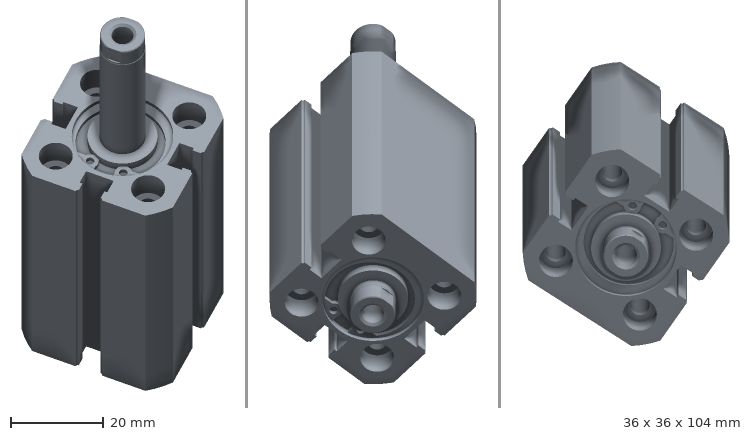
import cadquery as cq
import math

total_length = 104.0
housing_width = 36.0
housing_height = 62.0
rod_below = 6.0
corner_radius = 22.5

hole_pitch = 21.9
hole_diameter = 4.3
counterbore_diameter = 7.4
counterbore_depth = 6.2

slot_mouth_width = 5.2
slot_inner_width = 6.5
slot_depth = 5.9
slot_lip = 2.5
slot_lip_radius = 0.5
slot_directions = (180, 270, 0)

rod_radius = 5.0
rod_end_step = 0.1
rod_end_length = 4.4
rod_tip_chamfer = 0.2
flat_cut = 0.4
flat_length = 4.0
tap_radius = 2.4
tap_mouth_radius = 3.0
tap_mouth_depth = 0.4
tap_depth = 10.4
drill_point_angle = 118.0

bore_radius = 11.0
collar_length = 10.4
boss_radius = 7.6
boss_height = 2.1
ring_thickness = 1.0
ring_inner_radius = 9.8
ring_inner_offset = 1.0
ear_edge = 7.3
ear_radius = 1.9
ear_hole_radius = 0.9
ear_hole_x = 4.0
ear_hole_y = -8.4
gap_width = 4.6

half_width = housing_width / 2
rod_bottom = -rod_below
rod_top = rod_bottom + total_length


def cylinder(radius, height, z=0.0, x=0.0, y=0.0):
    """Upright cylinder standing at height z."""
    return cq.Workplane("XY", origin=(x, y, z)).circle(radius).extrude(height)


def block(x_min, x_max, y_min, y_max, height):
    """Upright block standing on z = 0."""
    size_x = x_max - x_min
    size_y = y_max - y_min
    return cq.Workplane("XY").box(size_x, size_y, height, centered=False).translate((x_min, y_min, 0))


def at_lower_end(body):
    """Copy of a body mirrored about the middle of the housing."""
    return body.mirror("XY", (0, 0, housing_height / 2))


def sensor_slot(direction):
    """T-slot over the full height, opening on the side that faces the given direction."""
    floor = half_width - slot_depth
    lip_start = half_width - slot_lip
    half_mouth = slot_mouth_width / 2
    half_inner = slot_inner_width / 2
    half_flare = half_mouth + slot_lip_radius
    arc_start = half_width - slot_lip_radius
    profile = (
        cq.Workplane("XY")
        .moveTo(floor, -half_inner)
        .lineTo(lip_start, -half_inner)
        .lineTo(lip_start, -half_mouth)
        .lineTo(arc_start, -half_mouth)
        .radiusArc((half_width, -half_flare), -slot_lip_radius)
        .lineTo(half_width, half_flare)
        .radiusArc((arc_start, half_mouth), -slot_lip_radius)
        .lineTo(lip_start, half_mouth)
        .lineTo(lip_start, half_inner)
        .lineTo(floor, half_inner)
        .close()
    )
    return profile.extrude(housing_height).rotate((0, 0, 0), (0, 0, 1), direction)


def make_housing():
    square = block(-half_width, half_width, -half_width, half_width, housing_height)
    body = square.intersect(cylinder(corner_radius, housing_height))

    for direction in slot_directions:
        body = body.cut(sensor_slot(direction))

    for x in (-hole_pitch / 2, hole_pitch / 2):
        for y in (-hole_pitch / 2, hole_pitch / 2):
            counterbore = cylinder(
                counterbore_diameter / 2, counterbore_depth, housing_height - counterbore_depth, x, y
            )
            body = body.cut(cylinder(hole_diameter / 2, housing_height, 0, x, y))
            body = body.cut(counterbore).cut(at_lower_end(counterbore))

    collar_seat = cylinder(bore_radius, collar_length, housing_height - collar_length)
    body = body.cut(collar_seat).cut(at_lower_end(collar_seat))
    return body.cut(cylinder(rod_radius, housing_height))


def make_collar():
    """Stepped guide of the rod: a flange that fills the bore and a boss flush with the housing face."""
    bottom = housing_height - collar_length
    flange = cylinder(bore_radius, collar_length - boss_height, bottom)
    boss = cylinder(boss_radius, collar_length, bottom)
    return flange.union(boss).cut(cylinder(rod_radius, housing_height))


def make_retaining_ring():
    """Internal circlip resting on the collar flange, with its gap toward -Y."""
    opening = cylinder(ring_inner_radius, ring_thickness, 0, 0, -ring_inner_offset)
    opening = opening.intersect(block(-bore_radius, bore_radius, -ear_edge, bore_radius, ring_thickness))
    gap = block(-gap_width / 2, gap_width / 2, -bore_radius, 0, ring_thickness)
    ring = cylinder(bore_radius, ring_thickness).cut(opening).cut(gap)

    for x in (-ear_hole_x, ear_hole_x):
        ring = ring.union(cylinder(ear_radius, ring_thickness, 0, x, ear_hole_y))
        ring = ring.cut(cylinder(ear_hole_radius, ring_thickness, 0, x, ear_hole_y))

    ring = ring.intersect(cylinder(bore_radius, ring_thickness)).cut(cylinder(boss_radius, ring_thickness))
    return ring.translate((0, 0, housing_height - boss_height))


def tapped_hole():
    """Countersunk blind hole with a drill point, at the top end of the rod."""
    point_depth = tap_radius / math.tan(math.radians(drill_point_angle / 2))
    return (
        cq.Workplane("XZ")
        .moveTo(0, rod_top)
        .lineTo(tap_mouth_radius, rod_top)
        .lineTo(tap_radius, rod_top - tap_mouth_depth)
        .lineTo(tap_radius, rod_top - tap_depth)
        .lineTo(0, rod_top - tap_depth - point_depth)
        .close()
        .revolve(360, (0, 0, 0), (0, 1, 0))
    )


def make_rod():
    middle = (rod_bottom + rod_top) / 2
    shaft_length = total_length - 2 * rod_end_length
    rod = cylinder(rod_radius - rod_end_step, total_length, rod_bottom).edges().chamfer(rod_tip_chamfer)
    shaft = cylinder(rod_radius, shaft_length, rod_bottom + rod_end_length)
    rod = rod.union(shaft.edges().chamfer(rod_end_step))

    flat_offset = rod_radius - flat_cut / 2
    for side in (-1, 1):
        flat = cq.Workplane("XY").box(2 * rod_radius, flat_cut, flat_length)
        flat = flat.translate((0, side * flat_offset, rod_top - flat_length / 2))
        rod = rod.cut(flat).cut(flat.mirror("XY", (0, 0, middle)))

    hole = tapped_hole()
    return rod.cut(hole).cut(hole.mirror("XY", (0, 0, middle)))


housing = make_housing()
rod = make_rod()

upper_collar = make_collar()
upper_ring = make_retaining_ring()
collars = []
retaining_rings = []
for lower in (False, True):
    collars.append((at_lower_end(upper_collar) if lower else upper_collar).val())
    retaining_rings.append((at_lower_end(upper_ring) if lower else upper_ring).val())

result = cq.Compound.makeCompound([housing.val(), rod.val(), *collars, *retaining_rings])